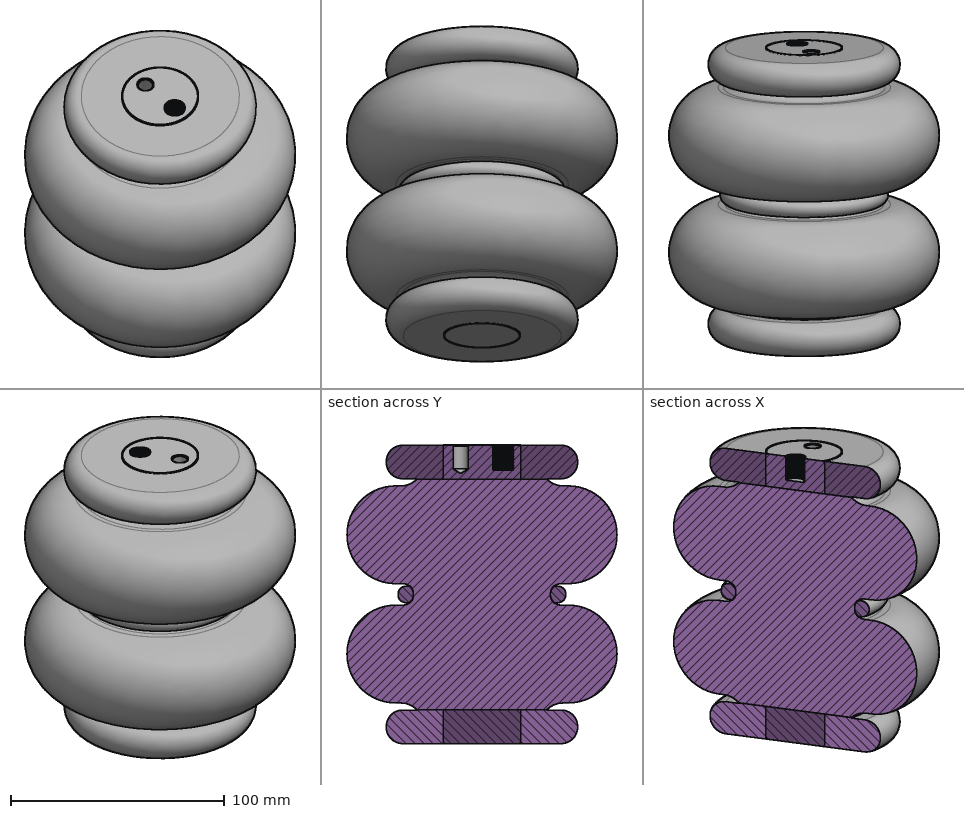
import cadquery as cq
import math

height = 140.0
half_height = height / 2

ring_diameter = 90.0
ring_height = 16.0
ring_round = ring_height / 2
ring_radius = ring_diameter / 2
ring_inner_z = half_height - ring_height

lobe_diameter = 126.8
lobe_height = 46.0
lobe_gap = 9.8
lobe_round = lobe_height / 2
lobe_radius = lobe_diameter / 2
lobe_round_center = lobe_radius - lobe_round
lobe_inner_z = lobe_gap / 2
lobe_middle_z = lobe_inner_z + lobe_round
lobe_outer_z = lobe_inner_z + lobe_height
waist_round = lobe_gap / 2
waist_center = 37.1
collar_round = 10.4
collar_center = 38.0

girdle_diameter = 79.0
girdle_height = 8.0
girdle_round = girdle_height / 2
girdle_radius = girdle_diameter / 2

disc_diameter = 36.0
disc_radius = disc_diameter / 2
disc_chamfer = 0.4
hole_offset = 10.0

tap_diameter = 6.9
tap_mouth_diameter = 8.0
tap_depth = 11.2
tap_tip_angle = 118.0

port_crest_diameter = 8.8
port_root_diameter = 9.5
port_mouth_diameter = 9.8
thread_pitch = 0.5
thread_turns = 20
thread_flat = thread_pitch / 6


def revolve_about_z(profile):
    return profile.close().revolve(360, (0, 0, 0), (0, 1, 0))


def make_end_ring():
    round_center = ring_radius - ring_round
    return revolve_about_z(
        cq.Workplane("XZ")
        .moveTo(disc_radius, ring_inner_z)
        .lineTo(round_center, ring_inner_z)
        .threePointArc((ring_radius, ring_inner_z + ring_round), (round_center, half_height))
        .lineTo(disc_radius, half_height)
    )


def make_bellows():
    collar_rise = ring_inner_z - lobe_outer_z
    collar_angle = math.acos(1 - collar_rise / collar_round)
    end_radius = collar_center - collar_round * math.sin(collar_angle)
    collar_mid_radius = collar_center - collar_round * math.sin(collar_angle / 2)
    collar_mid_z = lobe_outer_z + collar_round * (1 - math.cos(collar_angle / 2))
    return revolve_about_z(
        cq.Workplane("XZ")
        .moveTo(0, -ring_inner_z)
        .lineTo(end_radius, -ring_inner_z)
        .threePointArc((collar_mid_radius, -collar_mid_z), (collar_center, -lobe_outer_z))
        .lineTo(lobe_round_center, -lobe_outer_z)
        .threePointArc((lobe_radius, -lobe_middle_z), (lobe_round_center, -lobe_inner_z))
        .lineTo(waist_center, -lobe_inner_z)
        .threePointArc((waist_center - waist_round, 0), (waist_center, lobe_inner_z))
        .lineTo(lobe_round_center, lobe_inner_z)
        .threePointArc((lobe_radius, lobe_middle_z), (lobe_round_center, lobe_outer_z))
        .lineTo(collar_center, lobe_outer_z)
        .threePointArc((collar_mid_radius, collar_mid_z), (end_radius, ring_inner_z))
        .lineTo(0, ring_inner_z)
    )


def make_girdle():
    round_center = girdle_radius - girdle_round
    seat_radius = waist_center - math.sqrt(waist_round**2 - girdle_round**2)
    return revolve_about_z(
        cq.Workplane("XZ")
        .moveTo(seat_radius, -girdle_round)
        .lineTo(round_center, -girdle_round)
        .threePointArc((girdle_radius, 0), (round_center, girdle_round))
        .lineTo(seat_radius, girdle_round)
        .threePointArc((waist_center - waist_round, 0), (seat_radius, -girdle_round))
    )


def make_end_disc():
    return (
        cq.Workplane("XY")
        .workplane(offset=ring_inner_z)
        .circle(disc_radius)
        .extrude(ring_height)
        .faces(">Z")
        .chamfer(disc_chamfer)
    )


def tapped_hole():
    radius = tap_diameter / 2
    mouth_radius = tap_mouth_diameter / 2
    countersink_depth = mouth_radius - radius
    floor_z = half_height - tap_depth
    tip_depth = radius / math.tan(math.radians(tap_tip_angle / 2))
    profile = (
        cq.Workplane("XZ")
        .moveTo(0, half_height)
        .lineTo(mouth_radius, half_height)
        .lineTo(radius, half_height - countersink_depth)
        .lineTo(radius, floor_z)
        .lineTo(0, floor_z - tip_depth)
    )
    return revolve_about_z(profile).translate((-hole_offset, 0, 0))


def threaded_port():
    crest = port_crest_diameter / 2
    root = port_root_diameter / 2
    mouth_radius = port_mouth_diameter / 2
    thread_top_z = half_height - (mouth_radius - crest)
    profile = (
        cq.Workplane("XZ")
        .moveTo(0, half_height)
        .lineTo(mouth_radius, half_height)
        .lineTo(crest, thread_top_z)
    )
    for turn in range(thread_turns):
        groove_z = thread_top_z - turn * thread_pitch
        profile = (
            profile.lineTo(crest, groove_z - thread_flat)
            .lineTo(root, groove_z - thread_pitch / 2)
            .lineTo(root, groove_z - thread_pitch / 2 - thread_flat)
            .lineTo(crest, groove_z - thread_pitch)
        )
    profile = profile.lineTo(0, thread_top_z - thread_turns * thread_pitch)
    return revolve_about_z(profile).translate((hole_offset, 0, 0))


upper_ring = make_end_ring()
end_rings = [upper_ring]
blank_disc = make_end_disc()
end_discs = [blank_disc.cut(tapped_hole()).cut(threaded_port())]

for bodies, upper_body in ((end_rings, upper_ring), (end_discs, blank_disc)):
    bodies.append(upper_body.mirror("XY"))

bellows = make_bellows()
girdle = make_girdle()

result = cq.Compound.makeCompound(
    [bellows.val(), girdle.val()]
    + [ring.val() for ring in end_rings]
    + [disc.val() for disc in end_discs]
)